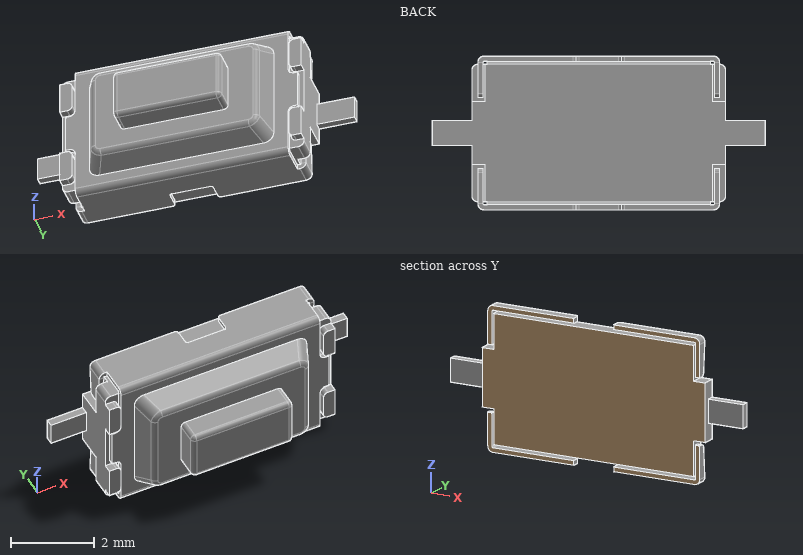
import cadquery as cq


total_length = 8.0
total_depth = 2.5

housing_length = 6.1
housing_height = 3.3
housing_depth = 1.19
housing_corner_radius = 0.14

notch_floor_depth = 0.7
notch_wall_x = 2.74
notch_inner_z = 0.75

claw_depth = 1.41
claw_inner_z = 0.62
claw_outer_z = 1.44
claw_corner_radius = 0.12

cover_height = 3.7
cover_length = 5.38
sheet = 0.13
bend_radius = 0.15
inner_bend_radius = bend_radius - sheet
cover_front_depth = housing_depth + sheet
cover_back_depth = 0.1

tongue_length = 5.86
tongue_height = 0.99

relief_width = 1.09
relief_end_depth = 0.58
relief_mouth_radius = 0.07
relief_root_radius = 0.06

tab_span = 5.81
tab_end_depth = 0.59
tab_tip_width = 0.36
tab_tip_z = 0.85
tab_tip_radius = 0.1

dome_length = 4.66
dome_height = 2.88
dome_front_depth = 1.9
dome_draft = 22.5
dome_corner_radius = 0.28
dome_rim_radius = 0.15

button_length = 2.72
button_height = 1.31
button_edge_radius = 0.11

lead_width = 0.61
lead_thickness = 0.2

pick_margin = 0.08


def plane_at(depth):
    """Sketch plane parallel to XZ; extrusions from it run toward the front."""
    return cq.Workplane("XZ", origin=(0, -depth, 0))


def slab(length, height, start_depth, end_depth):
    """Centred rectangular block between two depths."""
    return plane_at(start_depth).rect(length, height).extrude(end_depth - start_depth)


def corner_blocks(inner_x, inner_z, outer_z, start_depth, end_depth):
    """Four mirrored blocks reaching from inner_x to the housing ends."""
    width = housing_length / 2 - inner_x
    height = outer_z - inner_z
    mid_x = inner_x + width / 2
    mid_z = inner_z + height / 2
    centres = [(sx * mid_x, sz * mid_z) for sx in (-1, 1) for sz in (-1, 1)]
    return plane_at(start_depth).pushPoints(centres).rect(width, height).extrude(end_depth - start_depth)


def make_housing():
    body = slab(housing_length, housing_height, 0, housing_depth)
    body = body.edges("|Y").fillet(housing_corner_radius)
    notches = corner_blocks(notch_wall_x, notch_inner_z, housing_height / 2, 0, notch_floor_depth)
    claws = corner_blocks(notch_wall_x, claw_inner_z, claw_outer_z, housing_depth, claw_depth)
    inner_claw_edges = cq.selectors.BoxSelector(
        (-notch_wall_x - pick_margin, -claw_depth, -housing_height),
        (notch_wall_x + pick_margin, 0, housing_height),
    )
    claws = claws.edges("|Y").edges(inner_claw_edges).fillet(claw_corner_radius)
    return body.cut(notches).union(claws)


def relief_edges(depth):
    """Selector for the edges of the relief lying at the given depth."""
    return cq.selectors.BoxSelector(
        (-relief_width, -depth - pick_margin, -cover_height),
        (relief_width, -depth + pick_margin, cover_height),
    )


def make_cover_channel():
    """Front face and two long walls, with the tongues and wall reliefs."""
    channel = slab(cover_length, cover_height, cover_back_depth, cover_front_depth)
    channel = channel.faces("<Y").edges("|X").fillet(bend_radius)
    cavity = slab(cover_length, cover_height - 2 * sheet, cover_back_depth, housing_depth)
    cavity = cavity.faces("<Y").edges("|X").fillet(inner_bend_radius)
    channel = channel.cut(cavity)

    tongue = slab(tongue_length, tongue_height, housing_depth, cover_front_depth)
    channel = channel.union(tongue)
    tongue_roots = cq.selectors.BoxSelector(
        (-cover_length / 2 - pick_margin, -cover_front_depth, -tongue_height),
        (cover_length / 2 + pick_margin, -housing_depth, tongue_height),
    )
    channel = channel.edges("|Y").edges(tongue_roots).fillet(bend_radius)

    relief = slab(relief_width, cover_height, cover_back_depth, relief_end_depth)
    channel = channel.cut(relief)
    channel = channel.edges("|Z").edges(relief_edges(cover_back_depth)).fillet(relief_mouth_radius)
    return channel.edges("|Z").edges(relief_edges(relief_end_depth)).fillet(relief_root_radius)


def make_cover_tabs():
    """Tapered tabs that continue the long walls around the housing ends."""
    length = tab_end_depth - cover_back_depth
    mid_y = -(cover_back_depth + tab_end_depth) / 2
    band = slab(tab_span, cover_height, cover_back_depth, tab_end_depth)
    band = band.edges("|Y").fillet(bend_radius)
    hollow = slab(tab_span - 2 * sheet, cover_height - 2 * sheet, cover_back_depth, tab_end_depth)
    hollow = hollow.edges("|Y").fillet(inner_bend_radius)
    band = band.cut(hollow).cut(slab(cover_length, cover_height, cover_back_depth, tab_end_depth))

    wall_z = cover_height / 2
    bend_z = wall_z - bend_radius
    outline = [
        (mid_y - length / 2, wall_z),
        (mid_y - length / 2, bend_z),
        (mid_y - tab_tip_width / 2, tab_tip_z),
        (mid_y + tab_tip_width / 2, tab_tip_z),
        (mid_y + length / 2, bend_z),
        (mid_y + length / 2, wall_z),
    ]
    blank = cq.Workplane("YZ").polyline(outline).close().extrude(tab_span / 2, both=True)
    blank = blank.faces("<Z").edges("|X").fillet(tab_tip_radius)
    return band.intersect(blank.union(blank.mirror("XY")))


def make_dome():
    height = dome_front_depth - cover_front_depth
    dome = plane_at(cover_front_depth).rect(dome_length, dome_height).extrude(height, taper=dome_draft)
    dome = dome.edges("not(#Y)").fillet(dome_corner_radius)
    return dome.faces("<Y").edges().fillet(dome_rim_radius)


def make_button():
    button = slab(button_length, button_height, dome_front_depth, total_depth)
    return button.edges("|Y or <Y").fillet(button_edge_radius)


leads = slab(total_length, lead_width, 0, lead_thickness)

result = make_housing()
for piece in (make_cover_channel(), make_cover_tabs(), make_dome(), make_button(), leads):
    result = result.union(piece)